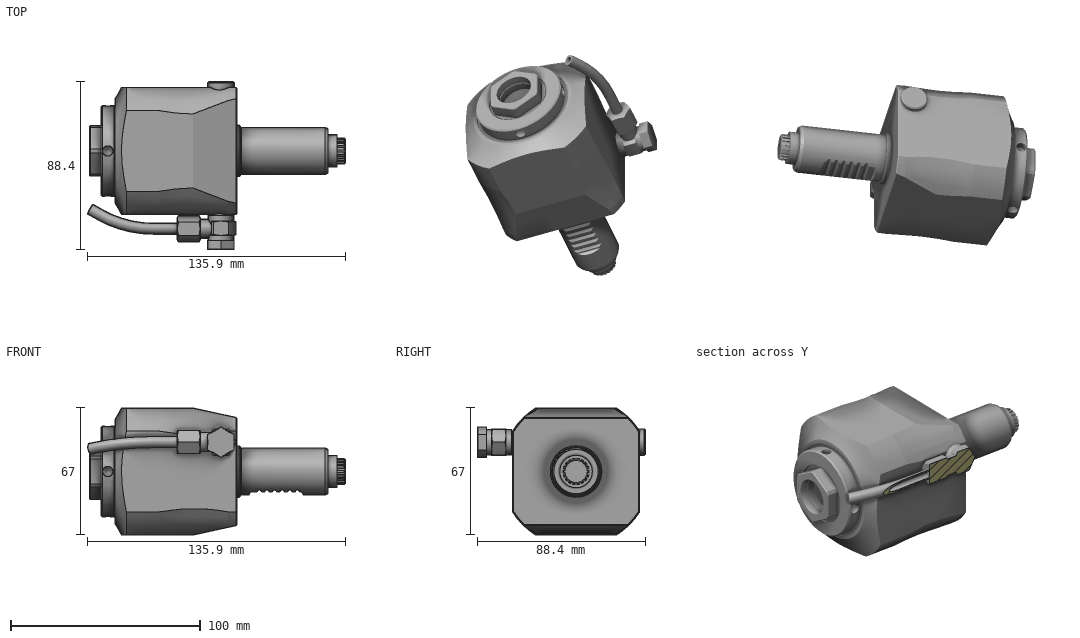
import cadquery as cq
import math


housing_front = -64.2
housing_width = 67.0
housing_half_width = housing_width / 2
housing_corner_radius = 39.7
face_radius = 27.6
nose_mid_x, nose_end = -60.9, -58.3
nose_mid_radius = housing_half_width
waist_start, waist_end = -40.9, -4.8
waist_depth = 0.88
slope_start = -23.1
rear_height = 56.9
rear_half_height = rear_height / 2
rear_chamfer = 0.5

recess_radius = 25.7
recess_depth = 0.8
collar_front, collar_back = -71.6, -64.8
collar_diameter = 48.0
collar_radius = collar_diameter / 2
collar_edge = 0.7
collar_bore_radius = 16.2
collar_bore_depth = 1.4
wrench_hole_x = -68.0
wrench_hole_radius = 2.7
wrench_hole_depth = 4.1
wrench_hole_count = 4

nut_front = -77.7
nut_flats = 26.6
nut_corner_radius = 14.8
nut_edge = 0.4
nut_base_radius = 15.3
nut_base_height = 0.7
nut_mouth_radius, nut_mouth_depth = 9.6, 4.5
nut_bore_radius, nut_bore_depth = 9.2, 8.8

flange_radius, flange_end = 13.6, 1.9
flange_edge = 0.7
groove_radius, groove_end = 12.1, 2.5
shank_radius, shank_end = 12.5, 48.1
shank_edge = 1.6
pilot_radius, pilot_end = 8.5, 52.8
spline_radius, spline_root_radius, spline_end = 6.9, 5.8, 57.2
spline_edge = 0.7
spline_count = 18

rack_start, rack_end = 6.2, 35.2
rack_tip_depth, rack_root_depth = 10.9, 9.8
rack_end_slope = 0.8
rack_gap_count = 6
rack_first_gap, rack_last_gap = 11.8, 31.9
rack_pitch = (rack_last_gap - rack_first_gap) / (rack_gap_count - 1)
rack_root_width, rack_mouth_width = 1.0, 3.0

fitting_x, fitting_z = -8.4, 15.5
plug_radius, plug_end, plug_edge = 7.0, 36.5, 0.7
bolt_radius = 5.8
bolt_collar_radius, bolt_collar_start = 6.8, 34.0
bolt_head_flats = 14.0
bolt_head_inner, bolt_head_outer = 47.1, 51.9
banjo_inner, banjo_outer = 36.8, 44.7
banjo_flats = 13.9
banjo_shoulder = 5.0
hex_corner_trim = 0.7
hex_face_inset = 0.4
seat_depth = 10.9

hose_y = -41.0
stem_radius = 5.0
hose_nut_start, hose_nut_end = -31.5, -19.3
hose_nut_flats = 12.1
hose_diameter, hose_bore_diameter = 5.8, 3.5
bend_start = -43.9
bend_radius = 55.1
bend_angle = math.radians(31)
bend_roll = math.radians(18.5)
hose_tip_length = 5.7


def turned(points):
    """Solid of revolution about X from an (x, radius) outline."""
    return cq.Workplane("XY").polyline(points).close().revolve(360, (0, 0, 0), (1, 0, 0))


def cylinder_x(start, end, radius, y=0, z=0):
    return cq.Workplane("YZ", origin=(start, y, z)).circle(radius).extrude(end - start)


def cylinder_y(start, end, radius, x, z):
    return cq.Workplane("XZ", origin=(x, start, z)).circle(radius).extrude(start - end)


def hexagon(plane, origin, flats, length, turn=0):
    """Hexagonal prism; `turn` rotates its first corner away from the plane's x axis."""
    corner = flats / math.sqrt(3)
    angles = [math.radians(turn + 60 * i) for i in range(6)]
    points = [(corner * math.cos(angle), corner * math.sin(angle)) for angle in angles]
    return cq.Workplane(plane, origin=origin).polyline(points).close().extrude(length)


def chamfered_hexagon(plane, origin, flats, length):
    """Hexagonal prism with its corners turned off at both ends."""
    corner = flats / math.sqrt(3)
    end_faces = "<X or >X" if plane == "YZ" else "<Y or >Y"
    envelope = (
        cq.Workplane(plane, origin=origin)
        .circle(corner)
        .extrude(length)
        .faces(end_faces)
        .chamfer(hex_corner_trim, corner - flats / 2 + hex_face_inset)
    )
    return hexagon(plane, origin, flats, length).intersect(envelope)


def make_housing():
    waist_mid = (waist_start + waist_end) / 2
    body = (
        cq.Workplane("XY")
        .moveTo(housing_front, 0)
        .lineTo(housing_front, face_radius)
        .threePointArc((nose_mid_x, nose_mid_radius), (nose_end, housing_corner_radius))
        .lineTo(waist_start, housing_corner_radius)
        .threePointArc((waist_mid, housing_corner_radius - waist_depth), (waist_end, housing_corner_radius))
        .lineTo(0, housing_corner_radius)
        .lineTo(0, 0)
        .close()
        .revolve(360, (0, 0, 0), (1, 0, 0))
    )
    side_outline = [
        (housing_front, housing_half_width),
        (slope_start, housing_half_width),
        (0, rear_half_height),
        (0, -rear_half_height),
        (slope_start, -housing_half_width),
        (housing_front, -housing_half_width),
    ]
    flats = cq.Workplane("XZ").polyline(side_outline).close().extrude(housing_half_width, both=True)
    body = body.intersect(flats).faces(">X").chamfer(rear_chamfer)
    return body.cut(cylinder_x(housing_front, housing_front + recess_depth, recess_radius))


def make_collar():
    collar = cylinder_x(collar_front, collar_back, collar_radius).faces("<X").chamfer(collar_edge)
    collar = collar.union(cylinder_x(collar_back, housing_front + recess_depth, collar_radius - collar_edge))
    collar = collar.cut(cylinder_x(collar_front, collar_front + collar_bore_depth, collar_bore_radius))

    floor_radius = collar_radius - wrench_hole_depth
    hole = (
        cq.Workplane("XZ")
        .polyline([
            (0, floor_radius - wrench_hole_radius / math.sqrt(3)),
            (wrench_hole_radius, floor_radius),
            (wrench_hole_radius, collar_radius),
            (0, collar_radius),
        ])
        .close()
        .revolve(360, (0, 0, 0), (0, 1, 0))
        .translate((wrench_hole_x, 0, 0))
    )
    for i in range(wrench_hole_count):
        collar = collar.cut(hole.rotate((0, 0, 0), (1, 0, 0), i * 360 / wrench_hole_count))
    return collar


def make_nut():
    nut_length = collar_front + collar_bore_depth - nut_front
    nut = hexagon("YZ", (nut_front, 0, 0), nut_flats, nut_length, 90)
    nut = nut.intersect(cylinder_x(nut_front, nut_front + nut_length, nut_corner_radius))
    nut = nut.faces("<X").chamfer(nut_edge)
    base_end = nut_front + nut_length
    return nut.union(cylinder_x(base_end - nut_base_height, base_end, nut_base_radius))


def make_nut_bore():
    mouth = cylinder_x(nut_front, nut_front + nut_mouth_depth, nut_mouth_radius)
    return mouth.union(cylinder_x(nut_front, nut_front + nut_bore_depth, nut_bore_radius))


def make_shank():
    shank = turned([
        (0, 0),
        (0, flange_radius),
        (flange_end - flange_edge, flange_radius),
        (flange_end, flange_radius - flange_edge),
        (flange_end, groove_radius),
        (groove_end, groove_radius),
        (groove_end, shank_radius),
        (shank_end - shank_edge, shank_radius),
        (shank_end, shank_radius - shank_edge / 2),
        (shank_end, pilot_radius),
        (pilot_end, pilot_radius),
        (pilot_end, 0),
    ])
    return shank.cut(make_rack_cut())


def make_rack_cut():
    points = [(rack_start, -shank_radius), (rack_start + rack_end_slope, -rack_tip_depth)]
    for i in range(rack_gap_count):
        centre = rack_first_gap + i * rack_pitch
        points += [
            (centre - rack_mouth_width / 2, -rack_tip_depth),
            (centre - rack_root_width / 2, -rack_root_depth),
            (centre + rack_root_width / 2, -rack_root_depth),
            (centre + rack_mouth_width / 2, -rack_tip_depth),
        ]
    points += [(rack_end - rack_end_slope, -rack_tip_depth), (rack_end, -shank_radius)]
    return cq.Workplane("XZ").polyline(points).close().extrude(shank_radius, both=True)


def make_spline():
    spline = cylinder_x(pilot_end, spline_end, spline_radius).faces(">X").chamfer(spline_edge)
    gap_width = math.pi * spline_radius / spline_count
    gap_depth = spline_radius - spline_root_radius
    gap = cq.Workplane("XY").box(
        spline_end - pilot_end, gap_width, 2 * gap_depth, centered=(False, True, True)
    ).translate((pilot_end, 0, spline_radius))
    for i in range(spline_count):
        spline = spline.cut(gap.rotate((0, 0, 0), (1, 0, 0), i * 360 / spline_count))
    return spline


def make_plug():
    seat = housing_half_width - seat_depth
    return cylinder_y(seat, plug_end, plug_radius, fitting_x, fitting_z).faces(">Y").chamfer(plug_edge)


def make_banjo_fitting():
    seat = seat_depth - housing_half_width
    bolt = cylinder_y(seat, -bolt_head_inner, bolt_radius, fitting_x, fitting_z)
    collar = cylinder_y(-bolt_collar_start, -bolt_head_inner, bolt_collar_radius, fitting_x, fitting_z)
    head_length = bolt_head_outer - bolt_head_inner
    head = hexagon("XZ", (fitting_x, -bolt_head_inner, fitting_z), bolt_head_flats, head_length, 90)
    banjo = chamfered_hexagon(
        "XZ", (fitting_x, -banjo_inner, fitting_z), banjo_flats, banjo_outer - banjo_inner
    )
    banjo_left = fitting_x - banjo_shoulder
    banjo = banjo.cut(cylinder_x(banjo_left - banjo_flats, banjo_left, banjo_flats, hose_y, fitting_z))
    stem = cylinder_x(hose_nut_end, fitting_x, stem_radius, hose_y, fitting_z)
    nut_length = hose_nut_end - hose_nut_start
    nut = chamfered_hexagon("YZ", (hose_nut_start, hose_y, fitting_z), hose_nut_flats, nut_length)
    return bolt.union(collar).union(head).union(banjo).union(stem).union(nut)


def make_hose():
    def path_point(angle, extra=0):
        """Point on the bend at `angle`, or `extra` beyond it along the tangent."""
        back = bend_radius * math.sin(angle) + extra * math.cos(angle)
        aside = bend_radius * (1 - math.cos(angle)) + extra * math.sin(angle)
        return (
            bend_start - back,
            hose_y + aside * math.cos(bend_roll),
            fitting_z - aside * math.sin(bend_roll),
        )

    edges = [
        cq.Edge.makeLine(cq.Vector(hose_nut_start, hose_y, fitting_z), cq.Vector(*path_point(0))),
        cq.Edge.makeThreePointArc(
            cq.Vector(*path_point(0)),
            cq.Vector(*path_point(bend_angle / 2)),
            cq.Vector(*path_point(bend_angle)),
        ),
        cq.Edge.makeLine(
            cq.Vector(*path_point(bend_angle)), cq.Vector(*path_point(bend_angle, hose_tip_length))
        ),
    ]
    path = cq.Workplane(obj=cq.Wire.assembleEdges(edges))
    section = cq.Workplane("YZ", origin=(hose_nut_start, hose_y, fitting_z))
    return section.circle(hose_diameter / 2).circle(hose_bore_diameter / 2).sweep(path)


result = make_housing()
for piece in (
    make_collar(),
    make_nut(),
    make_shank(),
    make_spline(),
    make_plug(),
    make_banjo_fitting(),
    make_hose(),
):
    result = result.union(piece)
result = result.cut(make_nut_bore())